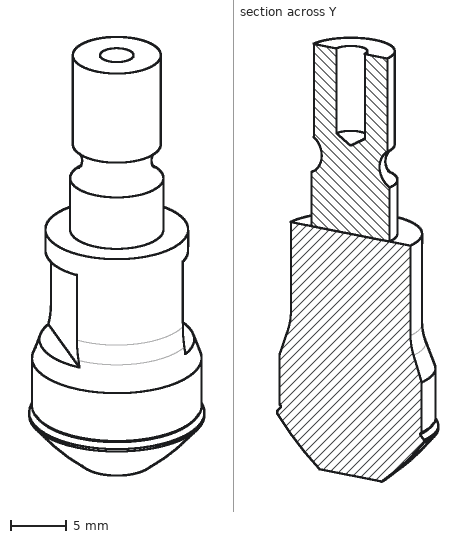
import cadquery as cq
import math

total_height = 40.45
shoulder_z = 23.05

tip_radius = 3.35
lip_radius = 7.95
lip_bottom_z = 4.55
lip_top_z = 4.77
nose_bulge_radius = 5.9
nose_bulge_z = 2.22
groove_radius = 7.52
groove_z = 5.25
belt_radius = 7.705
belt_bottom_z = 5.45
belt_top_z = 10.25
collar_radius = 6.492
blend_top_z = 14.5
blend_bottom_z = 12.65

flat_distance = 5.0
flat_bottom_z = 12.1
flat_top_z = 20.95

pin_base_radius = 4.25
pin_head_radius = 4.0
neck_radius = 3.15
neck_bottom_z = 28.2
neck_top_z = 31.55
neck_waist_z = 30.0

bore_radius = 1.515
bore_depth = 8.1
drill_point_angle = 118.0


def wrench_flat_cutters():
    """Two blocks that leave parallel flats facing -Y and +Y."""
    width = 2 * lip_radius
    depth = lip_radius - flat_distance
    height = flat_top_z - flat_bottom_z
    centre_y = flat_distance + depth / 2
    centre_z = flat_bottom_z + height / 2
    return (
        cq.Workplane("XY")
        .pushPoints([(0, -centre_y), (0, centre_y)])
        .box(width, depth, height)
        .translate((0, 0, centre_z))
    )


def make_housing():
    """Turned housing with a rounded nose, a lip, a tapered blend and two flats."""
    taper_slope = (belt_radius - collar_radius) / (belt_top_z - (blend_top_z + blend_bottom_z) / 2)
    blend_bottom_radius = belt_radius + taper_slope * (blend_bottom_z - belt_top_z)
    outline = (
        cq.Workplane("XZ")
        .lineTo(tip_radius, 0)
        .threePointArc((nose_bulge_radius, nose_bulge_z), (lip_radius, lip_bottom_z))
        .lineTo(lip_radius, lip_top_z)
        .lineTo(groove_radius, groove_z)
        .lineTo(belt_radius, belt_bottom_z)
        .lineTo(belt_radius, belt_top_z)
        .lineTo(blend_bottom_radius, blend_bottom_z)
        .tangentArcPoint((collar_radius, blend_top_z), relative=False)
        .lineTo(collar_radius, shoulder_z)
        .lineTo(0, shoulder_z)
        .close()
    )
    body = outline.revolve(360, (0, 0, 0), (0, 1, 0))
    return body.cut(wrench_flat_cutters())


def make_bore():
    """Drilled hole with a conical bottom, opening in the top face of the pin."""
    wall_bottom_z = total_height - bore_depth
    point_height = bore_radius / math.tan(math.radians(drill_point_angle / 2))
    return (
        cq.Workplane("XZ")
        .moveTo(0, total_height)
        .lineTo(bore_radius, total_height)
        .lineTo(bore_radius, wall_bottom_z)
        .lineTo(0, wall_bottom_z - point_height)
        .close()
        .revolve(360, (0, 0, 0), (0, 1, 0))
    )


def make_pin():
    """Necked pin standing on the housing shoulder."""
    body = (
        cq.Workplane("XZ")
        .moveTo(0, shoulder_z)
        .lineTo(pin_base_radius, shoulder_z)
        .lineTo(pin_base_radius, neck_bottom_z)
        .threePointArc((neck_radius, neck_waist_z), (pin_head_radius, neck_top_z))
        .lineTo(pin_head_radius, total_height)
        .lineTo(0, total_height)
        .close()
        .revolve(360, (0, 0, 0), (0, 1, 0))
    )
    return body.cut(make_bore())


housing = make_housing()
pin = make_pin()

result = cq.Compound.makeCompound([housing.val(), pin.val()])